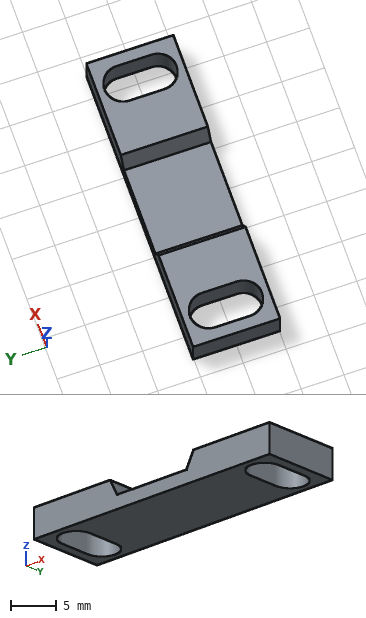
import cadquery as cq

length = 35.55
width = 10.17
height = 3.8

channel_top_width = 12.6
channel_floor_width = 10.45
floor_thickness = 1.75

slot_length = 8.4
slot_width = 4.3
slot_spacing = 28.45


def make_bar():
    """Extrude the bar profile, including the channel, along the width."""
    profile = [
        (-length / 2, 0),
        (length / 2, 0),
        (length / 2, height),
        (channel_top_width / 2, height),
        (channel_floor_width / 2, floor_thickness),
        (-channel_floor_width / 2, floor_thickness),
        (-channel_top_width / 2, height),
        (-length / 2, height),
    ]
    return cq.Workplane("XZ").polyline(profile).close().extrude(width / 2, both=True)


def make_slots():
    """Both end slots, as solids to cut away."""
    centers = [(-slot_spacing / 2, 0), (slot_spacing / 2, 0)]
    return cq.Workplane("XY").pushPoints(centers).slot2D(slot_length, slot_width, 90).extrude(height)


result = make_bar().cut(make_slots())